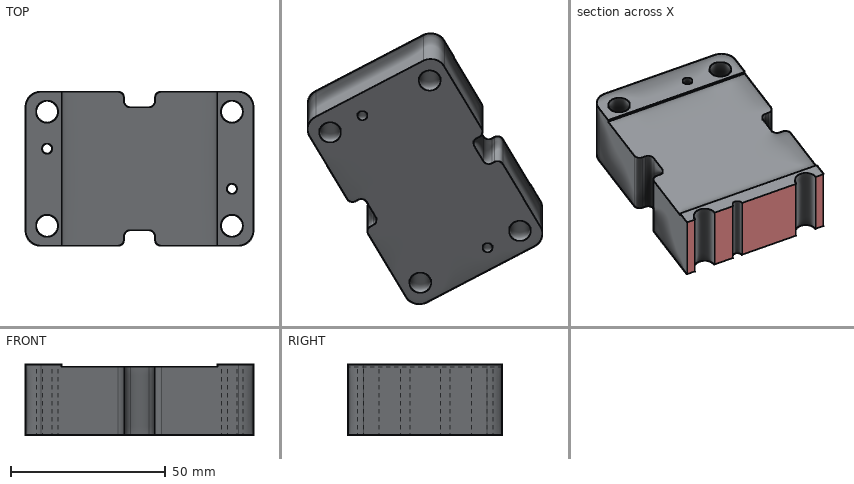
import cadquery as cq

length = 74.0
width = 50.0
height = 23.0
corner_radius = 5.0

channel_width = 50.5
channel_depth = 0.75

notch_width = 10.0
notch_depth = 5.0
notch_radius = 2.0

hole_offset_x = 30.0
bolt_diameter = 7.0
bolt_offset_y = 18.5
pin_diameter = 3.2
pin_offset_y = 6.5


def make_block():
    block = cq.Workplane("XY").rect(length, width).extrude(height)
    return block.edges("|Z").fillet(corner_radius)


def cut_notches(body):
    for side in (-1, 1):
        notch = (
            cq.Workplane("XY")
            .center(0, side * width / 2)
            .rect(notch_width, 2 * notch_depth)
            .extrude(height)
        )
        body = body.cut(notch)
    notch_zone = cq.selectors.BoxSelector(
        (-notch_width, -width, 0), (notch_width, width, height)
    )
    return body.edges("|Z").edges(notch_zone).fillet(notch_radius)


def cut_channel(body):
    channel = (
        cq.Workplane("XY")
        .workplane(offset=height - channel_depth)
        .rect(channel_width, width)
        .extrude(channel_depth)
    )
    return body.cut(channel)


def drill_through(body, points, diameter):
    drills = cq.Workplane("XY").pushPoints(points).circle(diameter / 2).extrude(height)
    return body.cut(drills)


bolt_points = [
    (x, y)
    for x in (-hole_offset_x, hole_offset_x)
    for y in (-bolt_offset_y, bolt_offset_y)
]
pin_points = [(-hole_offset_x, pin_offset_y), (hole_offset_x, -pin_offset_y)]

result = make_block()
result = cut_notches(result)
result = cut_channel(result)
result = drill_through(result, bolt_points, bolt_diameter)
result = drill_through(result, pin_points, pin_diameter)